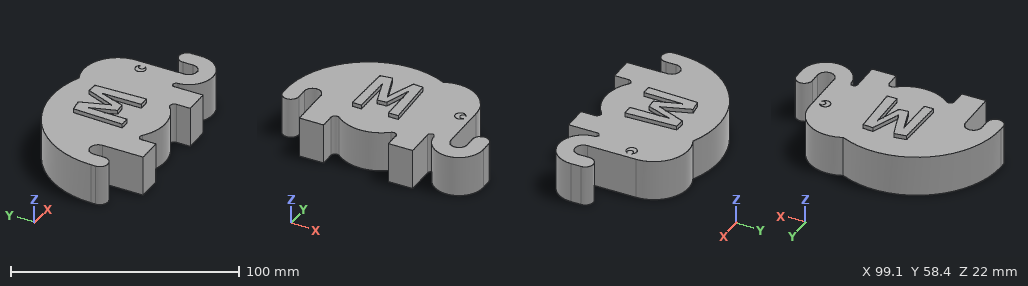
import cadquery as cq
import math

length = 99.05
thickness = 20.0
letter_height = 2.0
eye_depth = 2.0

limb_width = 8.0
limb_radius = limb_width / 2
low_center_y = 15.1
high_center_y = 20.1

leg_width = 12.0
rear_leg_x = 2 * limb_width
rear_leg_end = rear_leg_x + leg_width
front_leg_end = 72.0
front_leg_x = front_leg_end - leg_width

belly_radius = 20.0
belly_bottom = 3.9
belly_arch_radius = 2.0
belly_x = (rear_leg_end + front_leg_x) / 2
belly_center_y = belly_bottom + belly_radius
arch_offset_x = belly_x - rear_leg_end - belly_arch_radius
arch_offset_y = math.sqrt((belly_radius + belly_arch_radius) ** 2 - arch_offset_x**2)
belly_arch_y = belly_center_y - arch_offset_y
belly_end_dx = arch_offset_x * belly_radius / (belly_radius + belly_arch_radius)
belly_end_y = belly_center_y - arch_offset_y * belly_radius / (belly_radius + belly_arch_radius)

trunk_curl_radius = 1.5 * limb_width
trunk_x = length - trunk_curl_radius
trunk_arch_y = 14.2
trunk_back_x = trunk_x - math.sqrt(trunk_curl_radius**2 - (low_center_y - trunk_arch_y) ** 2)
trunk_arch_radius = (trunk_back_x - front_leg_end) / 2

face_x = trunk_x - limb_radius
head_radius = 17.1
head_x = face_x - head_radius
head_center_y = 38.9
nape_x = 58.7
nape_y = head_center_y + math.sqrt(head_radius**2 - (nape_x - head_x) ** 2)
back_radius = 41.1
back_top_y = 58.4
back_start_y = back_top_y - back_radius

eye_x = 77.8
eye_y = 34.1
eye_radius = 2.5
bite_x = 79.1
bite_radius = 1.5

letter_bottom = 19.0
letter_notch_top = 38.2
letter_peak = 44.4
letter_outline = [
    (32.3, letter_bottom),
    (33.1, 43.6),
    (38.9, letter_peak),
    (43.7, 30.3),
    (49.2, letter_peak),
    (54.1, 44.1),
    (55.0, letter_bottom),
    (50.1, letter_bottom),
    (49.9, letter_notch_top),
    (45.6, 26.1),
    (41.0, 25.9),
    (37.0, letter_notch_top),
    (36.7, letter_bottom),
]


def arc_point(center_x, center_y, radius, degrees):
    """Point on a circle at an angle from +X."""
    angle = math.radians(degrees)
    return (center_x + radius * math.cos(angle), center_y + radius * math.sin(angle))


def make_eye():
    base_z = thickness - eye_depth
    disc = cq.Workplane("XY", origin=(eye_x, eye_y, base_z)).circle(eye_radius).extrude(eye_depth)
    bite = cq.Workplane("XY", origin=(bite_x, eye_y, base_z)).circle(bite_radius).extrude(eye_depth)
    return disc.cut(bite)


def make_letter():
    return cq.Workplane("XY", origin=(0, 0, thickness)).polyline(letter_outline).close().extrude(letter_height)


def make_elephant(eye):
    outline = (
        cq.Workplane("XY")
        .moveTo(0, back_start_y)
        .lineTo(0, low_center_y)
        .threePointArc((limb_radius, low_center_y - limb_radius), (limb_width, low_center_y))
        .lineTo(limb_width, high_center_y)
        .threePointArc((rear_leg_x - limb_radius, high_center_y + limb_radius), (rear_leg_x, high_center_y))
        .lineTo(rear_leg_x, 0)
        .lineTo(rear_leg_end, 0)
        .lineTo(rear_leg_end, belly_arch_y)
        .threePointArc(
            arc_point(rear_leg_end + belly_arch_radius, belly_arch_y, belly_arch_radius, 90),
            (belly_x - belly_end_dx, belly_end_y),
        )
        .threePointArc((belly_x, belly_bottom), (belly_x + belly_end_dx, belly_end_y))
        .threePointArc(
            arc_point(front_leg_x - belly_arch_radius, belly_arch_y, belly_arch_radius, 90),
            (front_leg_x, belly_arch_y),
        )
        .lineTo(front_leg_x, 0)
        .lineTo(front_leg_end, 0)
        .lineTo(front_leg_end, trunk_arch_y)
        .threePointArc(
            arc_point(front_leg_end + trunk_arch_radius, trunk_arch_y, trunk_arch_radius, 90),
            (trunk_back_x, trunk_arch_y),
        )
        .threePointArc((trunk_x, low_center_y - trunk_curl_radius), (length, low_center_y))
        .lineTo(length, high_center_y)
        .threePointArc(
            (length - limb_radius, high_center_y + limb_radius),
            (length - limb_width, high_center_y),
        )
        .lineTo(length - limb_width, low_center_y)
        .threePointArc((trunk_x, low_center_y - limb_radius), (face_x, low_center_y))
        .lineTo(face_x, head_center_y)
        .threePointArc(arc_point(head_x, head_center_y, head_radius, 45), (nape_x, nape_y))
        .threePointArc((back_radius, back_top_y), (0, back_start_y))
        .close()
    )
    return outline.extrude(thickness).cut(eye)


eye = make_eye()
letter = make_letter()
elephant = make_elephant(eye)

result = cq.Compound.makeCompound([elephant.val(), letter.val(), eye.val()])